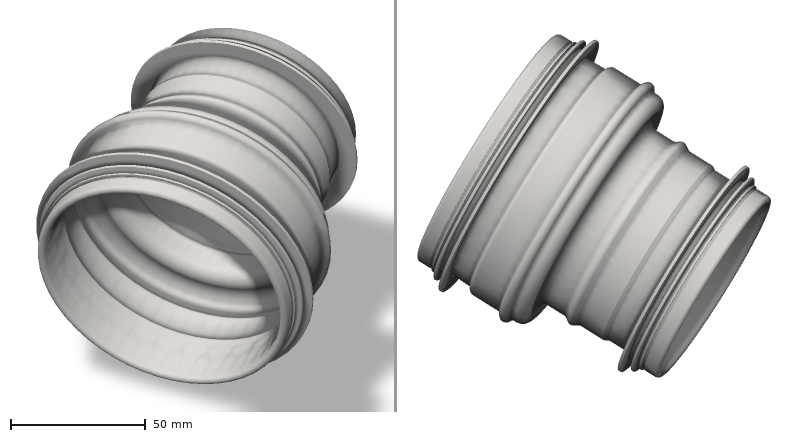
import cadquery as cq
import math


length = 100.0
wall = 0.5
hem_length = 6.0
hem_rise = 2.4
size_step = 20.0

small_neck_dia = 74.25
small_barrel_dia = 76.25
large_neck_dia = small_neck_dia + size_step
large_barrel_dia = 99.25
large_taper_dia = 95.05

small_rise_start = 23.3
small_rise_end = 25.2
small_bead_place = 38.6
shoulder_bend_start = 49.5
shoulder_place = 52.25
shoulder_bend_end = 56.2
large_bead_place = 60.7
large_drop_start = 76.3
large_drop_end = 77.23
large_taper_end = 90.3

small_bead_height = 1.7
small_bead_flank = 33.0
small_bead_foot_bend = 2.55
small_bead_crest_bend = 1.45
large_bead_height = 2.5
large_bead_flank = 68.0
large_bead_foot_bend = 1.95
large_bead_crest_bend = 1.75

large_drop_start_bend = 1.65
large_drop_end_bend = 1.4

seal_bore_dia = 75.45
rib_dia = 80.25
lip_dia = 84.45
flange_dia = 89.45
rib_start = 7.25
rib_end = 8.0
lip_root = 8.9
lip_start = 9.3
lip_end = 10.4
flange_root = 12.75
flange_start = 13.25
flange_end = 14.4
lip_chamfer = 0.2


def mid_radius(outer_dia):
    """Radius of the middle of the sheet for a given outside diameter."""
    return (outer_dia - wall) / 2


def bead(place, base_radius, height, flank, foot_bend, crest_bend):
    """Corners (radius, place, bend) of a raised ring with a round crest and sloped flanks."""
    slope = math.radians(flank)
    peak = height + crest_bend * (1 / math.cos(slope) - 1)
    half_width = peak / math.tan(slope)
    return [
        (base_radius, place - half_width, foot_bend),
        (base_radius + peak, place, crest_bend),
        (base_radius, place + half_width, foot_bend),
    ]


def shoulder(inner_radius, outer_radius):
    """Corners of the S-shaped step: the sheet dips inside the barrel, then folds back over.

    The two bends meet with no straight between them, so the barrel bend sets the neck bend.
    """
    rise = outer_radius - inner_radius
    run = shoulder_bend_end - shoulder_bend_start
    outer_bend = shoulder_bend_end - shoulder_place - wall / 2
    bend_sum = (rise ** 2 + run ** 2) / (2 * rise)
    inner_bend = bend_sum - outer_bend
    turn = math.pi / 2 + math.atan2(rise - bend_sum, run)
    setback = math.tan(turn / 2)
    return [
        (inner_radius, shoulder_bend_start + inner_bend * setback, inner_bend),
        (outer_radius, shoulder_bend_end - outer_bend * setback, outer_bend),
    ]


def sleeve_corners():
    """Corners (radius, place, bend) of the middle of the sheet, hem edge to hem edge."""
    small_neck = mid_radius(small_neck_dia)
    small_barrel = mid_radius(small_barrel_dia)
    large_neck = mid_radius(large_neck_dia)
    large_barrel = mid_radius(large_barrel_dia)
    hem_bend = hem_rise / 2
    small_end = wall / 2
    large_end = length - wall / 2
    return [
        (small_neck + hem_rise, hem_length, 0),
        (small_neck + hem_rise, small_end, hem_bend),
        (small_neck, small_end, hem_bend),
        (small_neck, small_rise_start, 0),
        (small_barrel, small_rise_end, 0),
        *bead(small_bead_place, small_barrel, small_bead_height, small_bead_flank,
              small_bead_foot_bend, small_bead_crest_bend),
        *shoulder(small_barrel, large_barrel),
        *bead(large_bead_place, large_barrel, large_bead_height, large_bead_flank,
              large_bead_foot_bend, large_bead_crest_bend),
        (large_barrel, large_drop_start, large_drop_start_bend),
        (mid_radius(large_taper_dia), large_drop_end, large_drop_end_bend),
        (large_neck, large_taper_end, 0),
        (large_neck, large_end, hem_bend),
        (large_neck + hem_rise, large_end, hem_bend),
        (large_neck + hem_rise, length - hem_length, 0),
    ]


def left_normal(start, end):
    """Unit vector to the left of the line from start to end."""
    along = (cq.Vector(*end[:2]) - cq.Vector(*start[:2])).normalized()
    return cq.Vector(-along.y, along.x)


def sheet_side(corners, offset):
    """Steps along one face of the sheet, `offset` to the left of its middle.

    Each step is a list of points: [end] for a corner, [start, middle, end] for a bend.
    """
    steps = [[cq.Vector(*corners[0][:2]) + left_normal(corners[0], corners[1]) * offset]]
    for before, corner, after in zip(corners, corners[1:], corners[2:]):
        normal_in = left_normal(before, corner)
        normal_out = left_normal(corner, after)
        bisector = (normal_in + normal_out).normalized()
        miter = 1 / bisector.dot(normal_in)
        point = cq.Vector(*corner[:2])
        bend = corner[2]
        if bend == 0:
            steps.append([point + bisector * (miter * offset)])
            continue
        turn = math.copysign(1, normal_in.cross(normal_out).z)
        center = point + bisector * (miter * bend * turn)
        reach = offset - bend * turn
        steps.append([center + normal * reach for normal in (normal_in, bisector, normal_out)])
    steps.append([cq.Vector(*corners[-1][:2]) + left_normal(corners[-2], corners[-1]) * offset])
    return steps


def draw_steps(start, steps):
    """Outline of lines and bends from a start point, leaving out lines of no length."""
    shortest_line = 1e-6
    outline = cq.Workplane("XY").moveTo(start.x, start.y)
    position = start
    for step in steps:
        if (step[0] - position).Length > shortest_line:
            outline = outline.lineTo(step[0].x, step[0].y)
        if len(step) == 3:
            _, middle, end = step
            outline = outline.threePointArc((middle.x, middle.y), (end.x, end.y))
        position = step[-1]
    return outline


def revolve_around_y(outline):
    return outline.close().revolve(360, (0, 0, 0), (0, 1, 0))


def make_sleeve():
    corners = sleeve_corners()
    left = sheet_side(corners, wall / 2)
    right = sheet_side(corners, -wall / 2)
    back = [step[::-1] for step in right[::-1]]
    start = left[0][0]
    return revolve_around_y(draw_steps(start, left[1:] + back))


def make_seal(added_dia):
    """Seal for an end at Y = 0 whose sleeve runs toward +Y."""
    bore = (seal_bore_dia + added_dia) / 2
    base = (small_neck_dia + added_dia) / 2 + hem_rise - wall
    rib = (rib_dia + added_dia) / 2
    lip = (lip_dia + added_dia) / 2
    flange = (flange_dia + added_dia) / 2
    tuck_start = (hem_rise + wall) / 2
    outline = cq.Workplane("XY").polyline([
        (bore, tuck_start),
        (base, tuck_start),
        (base, rib_start),
        (rib, rib_start),
        (rib, rib_end),
        (base, rib_end),
        (base, lip_root),
        (lip - lip_chamfer, lip_start),
        (lip, lip_start + lip_chamfer),
        (lip, lip_end - lip_chamfer),
        (lip - lip_chamfer, lip_end),
        (base, lip_end),
        (base, flange_root),
        (flange, flange_start),
        (flange, flange_end),
        (bore, flange_end),
    ])
    return revolve_around_y(outline)


def place_from_small_end(body):
    """Turn a body built from the small end at Y = 0 so the small end faces +Y."""
    return body.mirror("XZ").translate((0, length / 2, 0))


sleeve = place_from_small_end(make_sleeve())
small_seal = place_from_small_end(make_seal(0))
large_seal = make_seal(size_step).translate((0, -length / 2, 0))

result = cq.Compound.makeCompound([sleeve.val(), small_seal.val(), large_seal.val()])